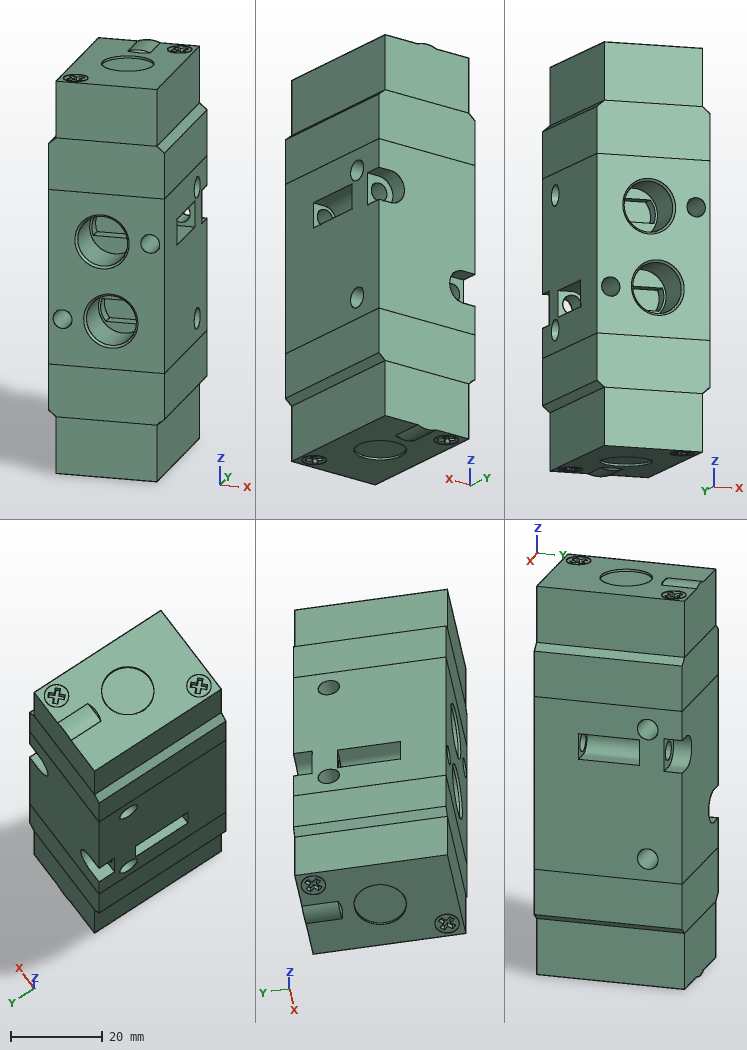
import cadquery as cq

total_height = 91.0
width = 26.5
depth = 34.0
front_y = -depth / 2
back_y = depth / 2

lug_height = 0.5
cap_length = 13.0
cap_width = 23.0
body_height = 40.0
body_top = body_height / 2
cap_top = total_height / 2 - lug_height
cap_base = cap_top - cap_length
adapter_bevel_height = 1.5
adapter_bevel_width = (width - cap_width) / 2

port_x = 1.0
port_z = 9.0
port_diameter = 11.4
port_rim_diameter = 12.4
port_rim_depth = (port_rim_diameter - port_diameter) / 2
port_depth = 10.0
port_slot_z = 9.7
port_slot_height = 5.2
port_slot_diameter = 10.4
port_slot_depth = 3.0

mount_x = 10.0
mount_z = 9.5
mount_diameter = 4.3
window_width = 5.9
window_front_y = -6.8
window_back_y = 7.2
notch_width = 7.55
notch_depth = 4.2

cross_hole_diameter = 4.7
cross_hole_y = 9.1
cross_hole_z = 15.0

recess_diameter = 11.5
recess_depth = 0.5
lug_width = 5.1
lug_length = 8.55
screw_x = 8.0
screw_y = 13.5
screw_diameter = 5.4
screw_recess_depth = 0.1
drive_length = 3.7
drive_width = 1.2
drive_depth = 1.0
drive_taper = 10
drive_angle = 45

half_turn = 180
y_axis_start = (0, 0, 0)
y_axis_end = (0, 1, 0)


def turned_over(shape):
    """The same shape turned half a turn about the Y axis."""
    return shape.rotate(y_axis_start, y_axis_end, half_turn)


def y_cylinder(diameter, x, z, start_y, end_y):
    """Cylinder along +Y between two depths."""
    axis_plane = cq.Plane(origin=(x, start_y, z), xDir=(-1, 0, 0), normal=(0, 1, 0))
    return cq.Workplane(axis_plane).circle(diameter / 2).extrude(end_y - start_y)


def port_cutter():
    """Upper front port: beveled rim, blind bore and a slot across the bore floor."""
    x = -port_x
    floor_y = front_y + port_depth
    slot_end_y = floor_y + port_slot_depth
    bore = y_cylinder(port_diameter, x, port_z, front_y, floor_y)
    rim = cq.Workplane(cq.Solid.makeCone(
        port_rim_diameter / 2,
        port_diameter / 2,
        port_rim_depth,
        pnt=cq.Vector(x, front_y, port_z),
        dir=cq.Vector(0, 1, 0),
    ))
    slot_band = (
        cq.Workplane("XY")
        .box(port_diameter, port_slot_depth, port_slot_height)
        .translate((x, floor_y + port_slot_depth / 2, port_slot_z))
    )
    slot = y_cylinder(port_slot_diameter, x, port_z, floor_y, slot_end_y).intersect(slot_band)
    return bore.union(rim).union(slot)


def side_slot(slot_width, start_y, end_y):
    """Slot open to the +X side, ending in a half round about the mounting hole."""
    length_y = end_y - start_y
    open_length = width / 2 - mount_x
    round_end = y_cylinder(slot_width, mount_x, mount_z, start_y, end_y)
    straight = (
        cq.Workplane("XY")
        .box(open_length, length_y, slot_width)
        .translate((mount_x + open_length / 2, start_y + length_y / 2, mount_z))
    )
    return round_end.union(straight)


def mounting_cutter():
    """Upper mounting hole through the body, with its side window and rear notch."""
    hole = y_cylinder(mount_diameter, mount_x, mount_z, front_y, back_y)
    window = side_slot(window_width, window_front_y, window_back_y)
    notch = side_slot(notch_width, back_y - notch_depth, back_y)
    return hole.union(window).union(notch)


def make_body():
    body = cq.Workplane("XY").box(width, depth, body_height)
    for cutter in (port_cutter(), mounting_cutter()):
        body = body.cut(cutter).cut(turned_over(cutter))
    cross_holes = (
        cq.Workplane("YZ", origin=(-width / 2, 0, 0))
        .pushPoints([(cross_hole_y, cross_hole_z), (cross_hole_y, -cross_hole_z)])
        .circle(cross_hole_diameter / 2)
        .extrude(width)
    )
    return body.cut(cross_holes)


def make_adapter():
    """Upper adapter: full width at the body, beveled down to the cap width."""
    half_width = width / 2
    half_cap = half_width - adapter_bevel_width
    bevel_z = cap_base - adapter_bevel_height
    return (
        cq.Workplane("XZ", origin=(0, back_y, 0))
        .moveTo(-half_width, body_top)
        .lineTo(half_width, body_top)
        .lineTo(half_width, bevel_z)
        .lineTo(half_cap, cap_base)
        .lineTo(-half_cap, cap_base)
        .lineTo(-half_width, bevel_z)
        .close()
        .extrude(depth)
    )


def make_lug():
    """Round bar lying in the cap end, beveled at its inner end, showing only its crown."""
    radius = ((lug_width / 2) ** 2 + lug_height ** 2) / (2 * lug_height)
    axis_z = cap_top + lug_height - radius
    bar = (
        y_cylinder(2 * radius, 0, axis_z, back_y - lug_length, back_y)
        .faces("<Y")
        .chamfer(lug_height)
    )
    crown_space = (
        cq.Workplane("XY", origin=(0, 0, cap_top - lug_height))
        .rect(cap_width, depth)
        .extrude(2 * lug_height)
    )
    return bar.intersect(crown_space)


def screw_cutter(x, y):
    """Shallow round screw seat with a tapered cross drive in its floor."""
    seat_plane = cq.Workplane("XY", origin=(x, y, cap_top))
    cutter = seat_plane.circle(screw_diameter / 2).extrude(-screw_recess_depth)
    for angle in (drive_angle, -drive_angle):
        arm = (
            seat_plane
            .transformed(rotate=(0, 0, angle))
            .rect(drive_length, drive_width)
            .extrude(-drive_depth, taper=drive_taper)
        )
        cutter = cutter.union(arm)
    return cutter


def make_cap():
    """Upper end cap with its lug, round recess and two cross screws."""
    cap = (
        cq.Workplane("XY", origin=(0, 0, cap_base))
        .rect(cap_width, depth)
        .extrude(cap_length)
        .union(make_lug())
    )
    recess = (
        cq.Workplane("XY", origin=(0, 0, cap_top))
        .circle(recess_diameter / 2)
        .extrude(-recess_depth)
    )
    cap = cap.cut(recess)
    for side in (1, -1):
        cap = cap.cut(screw_cutter(side * screw_x, side * screw_y))
    return cap


body = make_body()
end_bodies = []
for upper_body in (make_adapter(), make_cap()):
    end_bodies += [upper_body.val(), turned_over(upper_body).val()]

result = cq.Compound.makeCompound([body.val(), *end_bodies])